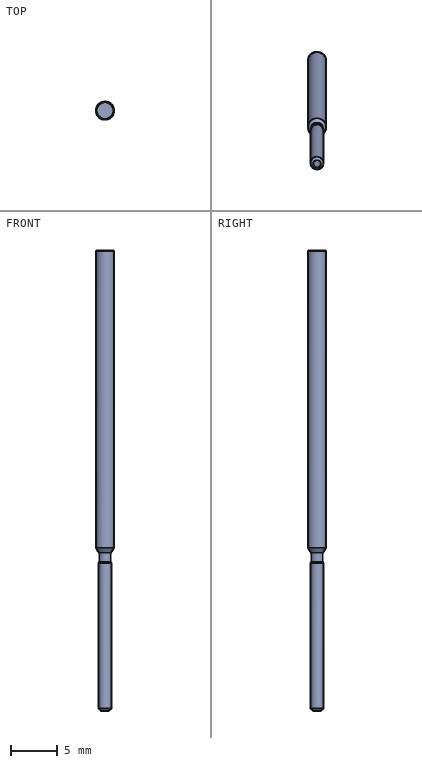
import cadquery as cq

total_length = 50.0
shank_radius = 1.0
back_chamfer = 0.1
taper_top = 17.7
taper_bottom = 17.15
neck_radius = 0.65

rod_radius = 0.71
rod_length = 16.2
shoulder_height = 0.15
tip_radius = 0.4
tip_height = 0.3


def revolve_about_z(profile):
    """Turn a closed (radius, height) profile into a solid about the Z axis."""
    return cq.Workplane("XZ").polyline(profile).close().revolve(360, (0, 0), (0, 1))


def make_shank():
    """Solid cylinder that tapers down to a neck standing on the rod."""
    return revolve_about_z([
        (0, rod_length),
        (neck_radius, rod_length),
        (neck_radius, taper_bottom),
        (shank_radius, taper_top),
        (shank_radius, total_length - back_chamfer),
        (shank_radius - back_chamfer, total_length),
        (0, total_length),
    ])


def make_rod():
    """Thin rod, chamfered at the tip and at the end that meets the neck."""
    return revolve_about_z([
        (0, 0),
        (tip_radius, 0),
        (rod_radius, tip_height),
        (rod_radius, rod_length - shoulder_height),
        (neck_radius, rod_length),
        (0, rod_length),
    ])


shank = make_shank()
rod = make_rod()

result = cq.Compound.makeCompound([shank.val(), rod.val()])